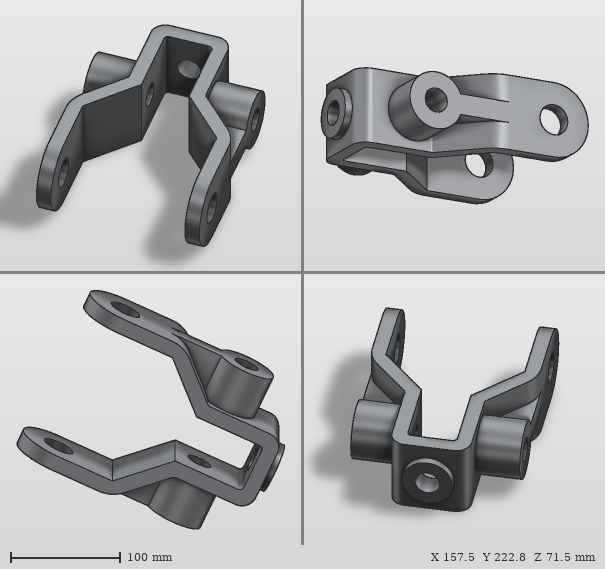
import cadquery as cq
import math

overall_width = 157.5
height = 71.5
wall = 14.0
channel_inner_width = 46.1
eye_hole_diameter = 28.7

pad_diameter = 46.3
pad_thickness = 7.4
overall_length = 222.8

boss_y = 122.5
boss_diameter = 54.5
bore_diameter = 23.0
web_thickness = 19.8

inner_leg_bend_y = 54.1
inner_channel_bend_y = 98.0
leg_bend_radius = 31.2
channel_bend_radius = 5.5
outer_corner_radius = 14.0
inner_corner_radius = 4.2

eye_radius = height / 2
tip_y = -eye_radius
back_y = overall_length - eye_radius - pad_thickness
half_width = overall_width / 2
half_channel = channel_inner_width / 2
leg_inner_x = half_width - wall
channel_outer_x = half_channel + wall
inner_back_y = back_y - wall

bend_angle = math.atan2(leg_inner_x - half_channel, inner_channel_bend_y - inner_leg_bend_y)
bend_shift = wall * math.tan(bend_angle / 2)
outer_leg_bend_y = inner_leg_bend_y + bend_shift
outer_channel_bend_y = inner_channel_bend_y + bend_shift


def stepped_prism(leg_x, leg_bend_y, channel_x, channel_bend_y, end_y):
    """Symmetric full-height prism: wide between the legs, narrow in the channel."""
    right_side = [
        (leg_x, tip_y),
        (leg_x, leg_bend_y),
        (channel_x, channel_bend_y),
        (channel_x, end_y),
    ]
    left_side = [(-x, y) for x, y in reversed(right_side)]
    outline = cq.Workplane("XY").polyline(right_side + left_side).close()
    return outline.extrude(eye_radius, both=True)


def round_upright_edges(body, x, y, radius):
    """Round the mirrored pair of vertical edges at (+x, y) and (-x, y)."""
    for edge_x in (x, -x):
        edge = body.edges(cq.selectors.NearestToPointSelector((edge_x, y, 0)))
        body = edge.fillet(radius)
    return body


def cross_cylinder(diameter, y):
    """Cylinder along X across the full width of the fork."""
    return cq.Workplane("YZ").center(y, 0).circle(diameter / 2).extrude(half_width, both=True)


envelope = stepped_prism(half_width, outer_leg_bend_y, channel_outer_x, outer_channel_bend_y, back_y)
envelope = round_upright_edges(envelope, half_width, outer_leg_bend_y, leg_bend_radius)
envelope = round_upright_edges(envelope, channel_outer_x, outer_channel_bend_y, channel_bend_radius)
envelope = round_upright_edges(envelope, channel_outer_x, back_y, outer_corner_radius)

side_profile = (
    cq.Workplane("YZ")
    .moveTo(0, -eye_radius)
    .lineTo(back_y, -eye_radius)
    .lineTo(back_y, eye_radius)
    .lineTo(0, eye_radius)
    .threePointArc((tip_y, 0), (0, -eye_radius))
    .close()
    .extrude(half_width, both=True)
)
envelope = envelope.intersect(side_profile)

bosses = cross_cylinder(boss_diameter, boss_y)
web_length = boss_y - inner_leg_bend_y + leg_bend_radius
webs = cq.Workplane("XY").box(overall_width, web_length, web_thickness)
webs = webs.translate((0, boss_y - web_length / 2, 0))

interior = stepped_prism(leg_inner_x, inner_leg_bend_y, half_channel, inner_channel_bend_y, inner_back_y)
interior = round_upright_edges(interior, half_channel, inner_back_y, inner_corner_radius)

pad = cq.Workplane("XZ", origin=(0, back_y, 0)).circle(pad_diameter / 2).extrude(-pad_thickness)

end_hole = (
    cq.Workplane("XZ", origin=(0, inner_back_y, 0))
    .circle(bore_diameter / 2)
    .extrude(-(wall + pad_thickness))
)

result = (
    envelope.union(bosses)
    .union(webs)
    .cut(interior)
    .union(pad)
    .cut(end_hole)
    .cut(cross_cylinder(bore_diameter, boss_y))
    .cut(cross_cylinder(eye_hole_diameter, 0))
)